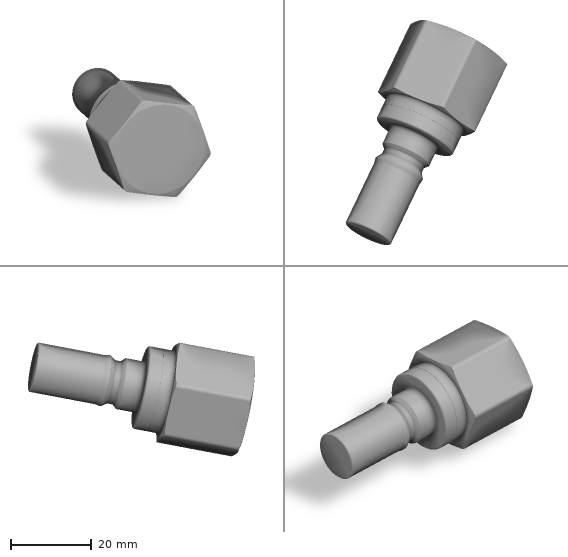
import cadquery as cq
import math

LENGTH = 54.15
LIP_TAPER_START = 17.0
LIP_START = 18.0
LIP_END = 18.5
NECK_START = 19.95
NECK_END = 21.4
SHOULDER_START = 22.4
COLLAR_START = 27.4
COLLAR_GROOVE_START = 30.85
HEX_START = 34.1

PLUG_DIAMETER = 12.5
LIP_DIAMETER = 12.95
NECK_DIAMETER = 11.0
COLLAR_DIAMETER = 21.0

TIP_CHAMFER = 0.2
SHOULDER_FILLET = 0.5
COLLAR_FILLET = 0.5
GROOVE_WIDTH = 0.15
GROOVE_DEPTH = 0.1

ACROSS_FLATS = 23.9
HEX_CORNER_RADIUS = 1.2
HEX_ROTATION = -11.0
FRONT_CHAMFER_DIAMETER = 23.9
REAR_CHAMFER_DIAMETER = 23.05
CHAMFER_ANGLE = 15.0


def revolve_about_x(profile):
    """Revolve a closed (x, radius) profile around the X axis."""
    return profile.close().revolve(360, (0, 0, 0), (1, 0, 0))


def make_turned_body():
    """Plug, retaining lip, neck, shoulder and collar as one revolved solid."""
    plug_radius = PLUG_DIAMETER / 2
    lip_radius = LIP_DIAMETER / 2
    neck_radius = NECK_DIAMETER / 2
    collar_radius = COLLAR_DIAMETER / 2
    groove_radius = collar_radius - GROOVE_DEPTH
    groove_end = COLLAR_GROOVE_START + GROOVE_WIDTH
    profile = (
        cq.Workplane("XY")
        .moveTo(0, 0)
        .lineTo(0, plug_radius - TIP_CHAMFER)
        .lineTo(TIP_CHAMFER, plug_radius)
        .lineTo(LIP_TAPER_START, plug_radius)
        .lineTo(LIP_START, lip_radius)
        .lineTo(LIP_END, lip_radius)
        .lineTo(NECK_START, neck_radius)
        .lineTo(NECK_END, neck_radius)
        .lineTo(SHOULDER_START, lip_radius)
        .lineTo(COLLAR_START - SHOULDER_FILLET, lip_radius)
        .radiusArc((COLLAR_START, lip_radius + SHOULDER_FILLET), -SHOULDER_FILLET)
        .lineTo(COLLAR_START, collar_radius - COLLAR_FILLET)
        .radiusArc((COLLAR_START + COLLAR_FILLET, collar_radius), COLLAR_FILLET)
        .lineTo(COLLAR_GROOVE_START, collar_radius)
        .lineTo(COLLAR_GROOVE_START, groove_radius)
        .lineTo(groove_end, groove_radius)
        .lineTo(groove_end, collar_radius)
        .lineTo(HEX_START, collar_radius)
        .lineTo(HEX_START, 0)
    )
    return revolve_about_x(profile)


def make_hexagon():
    """Rounded hexagonal prism with a conical chamfer at both ends."""
    corner_diameter = ACROSS_FLATS / math.cos(math.radians(30))
    prism = (
        cq.Workplane("YZ", origin=(HEX_START, 0, 0))
        .polygon(6, corner_diameter)
        .extrude(LENGTH - HEX_START)
        .edges("|X")
        .fillet(HEX_CORNER_RADIUS)
        .rotate((0, 0, 0), (1, 0, 0), HEX_ROTATION)
    )

    def chamfer_depth(end_diameter):
        return (corner_diameter - end_diameter) / 2 * math.tan(math.radians(CHAMFER_ANGLE))

    front_depth = chamfer_depth(FRONT_CHAMFER_DIAMETER)
    rear_depth = chamfer_depth(REAR_CHAMFER_DIAMETER)
    envelope = revolve_about_x(
        cq.Workplane("XY")
        .moveTo(HEX_START, 0)
        .lineTo(HEX_START, FRONT_CHAMFER_DIAMETER / 2)
        .lineTo(HEX_START + front_depth, corner_diameter / 2)
        .lineTo(LENGTH - rear_depth, corner_diameter / 2)
        .lineTo(LENGTH, REAR_CHAMFER_DIAMETER / 2)
        .lineTo(LENGTH, 0)
    )
    return prism.intersect(envelope)


result = make_turned_body().union(make_hexagon())